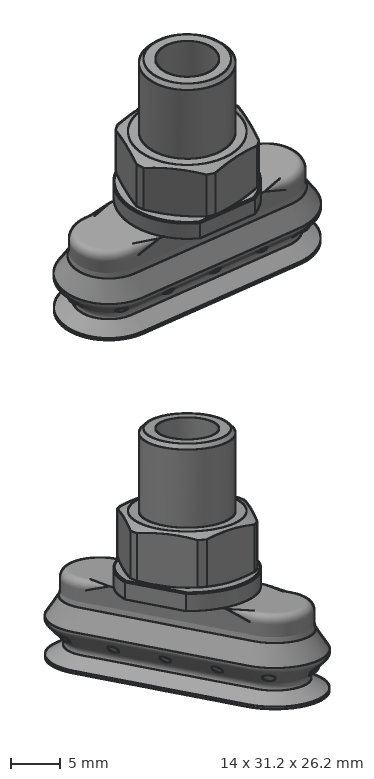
import cadquery as cq
import math

end_offset = 10.0
lip_radius = 5.5
lip_edge_height = 0.28
groove_radius = 3.7
groove_hollow = 0.1
groove_bottom = 1.35
groove_top = 2.05
fold_bottom_radius = 5.42
fold_bottom = 3.85
fold_top_radius = 5.55
fold_top = 4.42
shoulder_radius = 4.15
shoulder_bottom = 6.57
neck_radius = 4.02
neck_bottom = 7.15
cup_height = 9.4
crown_fillet = 0.9
crown_bottom = cup_height - crown_fillet
crown_top_radius = neck_radius - crown_fillet

crown_half_length = 9.38
crown_flat_half_length = 6.7

bump_count = 12
bump_diameter = 1.25
bump_rise = 0.2
bump_height = 2.95
bump_spacing_radius = 5.0

plate_diameter = 14.83
plate_flat_width = 13.1
plate_thickness = 1.95
plate_chamfer = 0.12
plate_top = cup_height + plate_thickness

total_height = 26.2
hex_height = 6.0
hex_across_flats = 13.0
hex_corner_diameter = 14.5
hex_face_diameter = 11.9
hex_chamfer_height = 0.47
hex_rotation = -19.0
hex_top = plate_top + hex_height
thread_diameter = 9.72
thread_chamfer = 0.47
bore_diameter = 6.4
bore_depth = 7.48
socket_across_flats = 4.02
socket_depth = 1.87


def crown_arc_middle():
    """Mid point of the crown fillet in a cross-section, as radius and height."""
    inset = crown_fillet * (1 - math.sqrt(0.5))
    return neck_radius - inset, cup_height - inset


def cup_profile():
    """Half section of the bellows in the XZ plane, from the axis outward."""
    return (
        cq.Workplane("XZ")
        .moveTo(0, 0)
        .lineTo(lip_radius, 0)
        .lineTo(lip_radius, lip_edge_height)
        .lineTo(groove_radius, groove_bottom)
        .threePointArc(
            (groove_radius - groove_hollow, (groove_bottom + groove_top) / 2),
            (groove_radius, groove_top),
        )
        .lineTo(fold_bottom_radius, fold_bottom)
        .tangentArcPoint((fold_top_radius, fold_top), relative=False)
        .lineTo(shoulder_radius, shoulder_bottom)
        .lineTo(neck_radius, neck_bottom)
        .lineTo(neck_radius, crown_bottom)
        .threePointArc(crown_arc_middle(), (crown_top_radius, cup_height))
        .lineTo(0, cup_height)
        .close()
    )


def oval_bellows():
    """Two revolved round ends joined by a straight middle of the same section."""
    half_middle = cup_profile().extrude(end_offset, both=True)
    body = half_middle.union(half_middle.mirror("YZ"))
    round_end = cup_profile().revolve(360, (0, 0, 0), (0, 1, 0))
    for side in (-1, 1):
        body = body.union(round_end.translate((0, side * end_offset, 0)))
    return body


def crown_block():
    """Sharp-edged middle of the crown whose edges round off gradually toward the ends."""
    block = (
        cq.Workplane("XY")
        .workplane(offset=crown_bottom)
        .rect(2 * neck_radius, 2 * crown_half_length)
        .extrude(crown_fillet)
    )
    sliver_base = (
        cq.Workplane("XZ", origin=(0, crown_half_length, 0))
        .moveTo(neck_radius, crown_bottom)
        .threePointArc(crown_arc_middle(), (crown_top_radius, cup_height))
        .lineTo(neck_radius, cup_height)
        .close()
    )
    sliver_tip = cq.Vertex.makeVertex(neck_radius, crown_flat_half_length, cup_height)
    sliver = cq.Workplane(cq.occ_impl.shapes.loft(sliver_base.val(), sliver_tip, cap=True, ruled=True))
    sliver_pair = sliver.union(sliver.mirror("YZ"))
    return block.cut(sliver_pair).cut(sliver_pair.mirror("XZ"))


def bump_cone_radius():
    """Radius of the lower cone at the height of the bumps."""
    rise = (bump_height - groove_top) / (fold_bottom - groove_top)
    return groove_radius + rise * (fold_bottom_radius - groove_radius)


def bump_place(travel):
    """Point and outward direction on the cone, travel measured round the oval from mid +X side."""
    radius = bump_cone_radius()
    half_lap = 2 * end_offset + math.pi * bump_spacing_radius
    lap_half, along = divmod(travel, half_lap)
    if along <= end_offset:
        place = (radius, along, 1, 0)
    elif along < half_lap - end_offset:
        angle = (along - end_offset) / bump_spacing_radius
        out_x = math.cos(angle)
        out_y = math.sin(angle)
        place = (radius * out_x, end_offset + radius * out_y, out_x, out_y)
    else:
        place = (-radius, half_lap - along, -1, 0)
    turn = -1 if lap_half else 1
    return [turn * value for value in place]


def grip_bumps():
    """Half balls, evenly spaced round the oval, that stand out of the lower cone as low domes."""
    sphere_radius = ((bump_diameter / 2) ** 2 + bump_rise ** 2) / (2 * bump_rise)
    sink = sphere_radius - bump_rise
    cone_run = fold_bottom_radius - groove_radius
    cone_rise = fold_bottom - groove_top
    cone_slant = math.hypot(cone_run, cone_rise)
    perimeter = 4 * end_offset + 2 * math.pi * bump_spacing_radius
    bumps = []
    for index in range(bump_count):
        x, y, out_x, out_y = bump_place(index * perimeter / bump_count)
        outward = cq.Vector(
            out_x * cone_rise / cone_slant,
            out_y * cone_rise / cone_slant,
            -cone_run / cone_slant,
        )
        centre = cq.Vector(x, y, bump_height) - outward * sink
        bumps.append(cq.Workplane(cq.Solid.makeSphere(sphere_radius, centre, outward, 0, 90, 360)))
    return bumps


def make_cup():
    cup = oval_bellows().union(crown_block())
    for bump in grip_bumps():
        cup = cup.union(bump)
    return cup


def make_plate():
    base = cq.Workplane("XY").workplane(offset=cup_height)
    disc = base.circle(plate_diameter / 2).extrude(plate_thickness)
    between_flats = base.rect(plate_flat_width, plate_diameter).extrude(plate_thickness)
    return disc.intersect(between_flats).faces(">Z").chamfer(plate_chamfer)


def hexagon(across_flats, base, height):
    """Hexagonal prism with two corners on the X axis."""
    across_corners = across_flats / math.cos(math.pi / 6)
    return cq.Workplane("XY").workplane(offset=base).polygon(6, across_corners).extrude(height)


def hex_nut():
    """Hexagon with turned-down corners, chamfered at both faces."""
    prism = hexagon(hex_across_flats, plate_top, hex_height)
    prism = prism.rotate((0, 0, 0), (0, 0, 1), hex_rotation)
    turned_envelope = (
        cq.Workplane("XZ")
        .moveTo(0, plate_top)
        .lineTo(hex_face_diameter / 2, plate_top)
        .lineTo(hex_corner_diameter / 2, plate_top + hex_chamfer_height)
        .lineTo(hex_corner_diameter / 2, hex_top - hex_chamfer_height)
        .lineTo(hex_face_diameter / 2, hex_top)
        .lineTo(0, hex_top)
        .close()
        .revolve(360, (0, 0, 0), (0, 1, 0))
    )
    return prism.intersect(turned_envelope)


def bore():
    """Round bore whose 45 degree cone runs into a hexagonal key socket."""
    bore_radius = bore_diameter / 2
    socket_radius = socket_across_flats / 2
    bore_bottom = total_height - bore_depth
    cone_bottom = bore_bottom - (bore_radius - socket_radius)
    round_part = (
        cq.Workplane("XZ")
        .moveTo(0, cone_bottom)
        .lineTo(socket_radius, cone_bottom)
        .lineTo(bore_radius, bore_bottom)
        .lineTo(bore_radius, total_height)
        .lineTo(0, total_height)
        .close()
        .revolve(360, (0, 0, 0), (0, 1, 0))
    )
    socket_bottom = cone_bottom - socket_depth
    return round_part.union(hexagon(socket_across_flats, socket_bottom, bore_bottom - socket_bottom))


def make_fitting():
    thread = (
        cq.Workplane("XY")
        .workplane(offset=hex_top)
        .circle(thread_diameter / 2)
        .extrude(total_height - hex_top)
        .faces(">Z")
        .chamfer(thread_chamfer)
    )
    return hex_nut().union(thread).cut(bore())


cup = make_cup()
plate = make_plate()
fitting = make_fitting()
result = cq.Compound.makeCompound([cup.val(), plate.val(), fitting.val()])